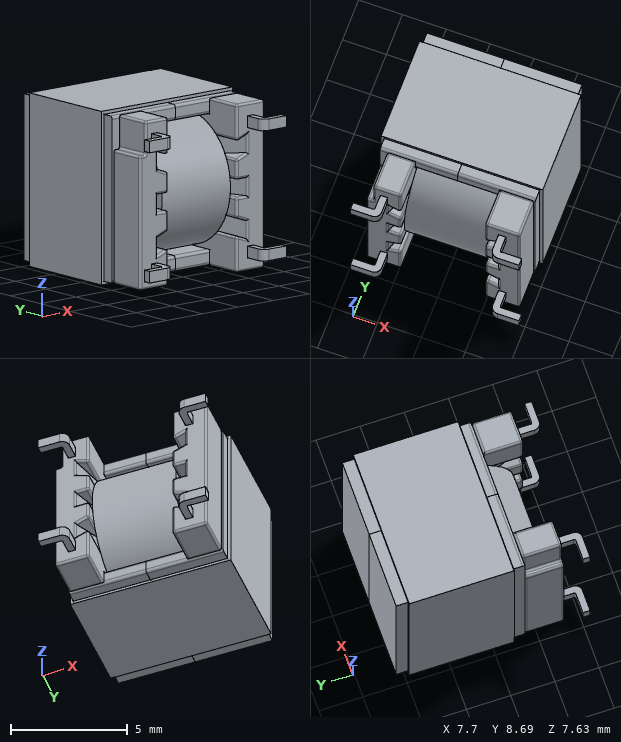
import cadquery as cq
import math


CORE_LENGTH = 7.09
CORE_HEIGHT = 7.335
CORE_DEPTH = 5.85
CORE_REAR_Y = 4.28
CORE_FRONT_Y = CORE_REAR_Y - CORE_DEPTH
CORE_FILLET = 0.13
CENTRE_LEG_RADIUS = 1.39
CAVITY_RADIUS = 2.97

TAPE_THICKNESS = 0.15
TAPE_WIDTH = 4.76

WINDING_RADIUS = 2.955
WINDING_LENGTH = 3.84
WINDING_END_X = WINDING_LENGTH / 2

TUBE_WALL = 0.26
TUBE_RADIUS = CENTRE_LEG_RADIUS + TUBE_WALL
FLANGE_THICKNESS = 0.35
FLANGE_END_X = WINDING_END_X + FLANGE_THICKNESS

BLOCK_OUTER_X = 3.5
BLOCK_HEIGHT = 7.39
BLOCK_DEPTH = 1.79
BLOCK_FRONT_Y = CORE_FRONT_Y - BLOCK_DEPTH
BLOCK_FILLET = 0.1
KEY_STEP_WIDTH = 0.32
KEY_STEP_HEIGHT = 1.49

SLOT_WIDTH = 0.79
SLOT_OUTER_X = 2.54
SLOT_RAMP_DEPTH = 1.56
SLOT_PITCH = 1.9
SLOT_TILT = 21.0

PIN_THICKNESS = 0.33
PIN_WIDTH = 0.51
PIN_INNER_X = 2.53
PIN_TIP_X = 3.85
PIN_Z = 2.86
OVERALL_DEPTH = 8.69
PIN_FRONT_Y = CORE_REAR_Y - OVERALL_DEPTH
PIN_INNER_BEND = 0.08

TOLERANCE = 0.0001


def cavity_profile(front_y):
    """U-shaped section around the winding axis, open toward -Y, drawn in the YZ plane."""
    return (
        cq.Workplane("YZ")
        .moveTo(front_y, CAVITY_RADIUS)
        .lineTo(0, CAVITY_RADIUS)
        .threePointArc((CAVITY_RADIUS, 0), (0, -CAVITY_RADIUS))
        .lineTo(front_y, -CAVITY_RADIUS)
        .close()
    )


def make_core_half():
    """Core half on the +X side: a U-shaped shell with an end wall and a round centre leg."""
    half_length = CORE_LENGTH / 2
    shell = cq.Workplane("XY").box(half_length, CORE_DEPTH, CORE_HEIGHT, centered=(False, False, True))
    shell = shell.translate((0, CORE_FRONT_Y, 0))
    shell = shell.cut(cavity_profile(CORE_FRONT_Y).extrude(FLANGE_END_X))
    shell = shell.faces("<Y").edges("|X").fillet(CORE_FILLET)
    leg = cq.Workplane("YZ").circle(CENTRE_LEG_RADIUS).extrude(FLANGE_END_X)
    return shell.union(leg)


def make_tape():
    """Rectangular band around the middle of the core depth."""
    band = (
        cq.Workplane("XZ")
        .rect(CORE_LENGTH + 2 * TAPE_THICKNESS, CORE_HEIGHT + 2 * TAPE_THICKNESS)
        .rect(CORE_LENGTH, CORE_HEIGHT)
        .extrude(TAPE_WIDTH / 2, both=True)
    )
    return band.translate((0, (CORE_REAR_Y + CORE_FRONT_Y) / 2, 0))


def make_winding():
    """Coil around the bobbin tube, between the flanges."""
    return (
        cq.Workplane("YZ", origin=(-WINDING_END_X, 0, 0))
        .circle(WINDING_RADIUS)
        .circle(TUBE_RADIUS)
        .extrude(WINDING_LENGTH)
    )


def wire_slot(row):
    """Wedge that cuts one slot; row is 1, 0 or -1 from top to bottom."""
    reach = SLOT_OUTER_X - WINDING_END_X
    drop = row * reach * math.tan(math.radians(SLOT_TILT))
    half_width = SLOT_WIDTH / 2
    outer_z = row * SLOT_PITCH
    sheared = (
        cq.Workplane("XZ", origin=(0, BLOCK_FRONT_Y, 0))
        .polyline([
            (SLOT_OUTER_X, outer_z + half_width),
            (SLOT_OUTER_X, outer_z - half_width),
            (WINDING_END_X, outer_z - drop - half_width),
            (WINDING_END_X, outer_z - drop + half_width),
        ])
        .close()
        .extrude(-SLOT_RAMP_DEPTH)
    )
    ramp = (
        cq.Workplane("XY")
        .polyline([
            (SLOT_OUTER_X, BLOCK_FRONT_Y),
            (WINDING_END_X, BLOCK_FRONT_Y),
            (WINDING_END_X, BLOCK_FRONT_Y + SLOT_RAMP_DEPTH),
        ])
        .close()
        .extrude(BLOCK_HEIGHT / 2, both=True)
    )
    return sheared.intersect(ramp)


def is_rounded(edge):
    """True for the filleted edges of a block: all but those inside a slot or next to the flange."""
    centre = edge.Center()
    on_front = abs(centre.y - BLOCK_FRONT_Y) < TOLERANCE
    on_inner = abs(centre.x - WINDING_END_X) < TOLERANCE
    on_rear = abs(centre.y - CORE_FRONT_Y) < TOLERANCE
    ramp_foot = abs(centre.y - BLOCK_FRONT_Y - SLOT_RAMP_DEPTH) < TOLERANCE
    on_end = abs(abs(centre.z) - BLOCK_HEIGHT / 2) < TOLERANCE
    in_slot = centre.x < SLOT_OUTER_X and not (on_front or on_inner or on_rear or on_end)
    at_flange = on_inner and (on_rear or ramp_foot)
    return not (in_slot or at_flange)


def make_block(keyed):
    """Terminal block on the +X side; a keyed block has a step in its top outer corner."""
    length = BLOCK_OUTER_X - WINDING_END_X
    block = cq.Workplane("XY").box(length, BLOCK_DEPTH, BLOCK_HEIGHT, centered=(False, False, True))
    block = block.translate((WINDING_END_X, BLOCK_FRONT_Y, 0))
    if keyed:
        step = cq.Workplane("XY").box(KEY_STEP_WIDTH, BLOCK_DEPTH, KEY_STEP_HEIGHT, centered=False)
        step_corner = (BLOCK_OUTER_X - KEY_STEP_WIDTH, BLOCK_FRONT_Y, BLOCK_HEIGHT / 2 - KEY_STEP_HEIGHT)
        block = block.cut(step.translate(step_corner))
    for row in (1, 0, -1):
        block = block.cut(wire_slot(row))
    rounded_edges = [edge for edge in block.edges().vals() if is_rounded(edge)]
    return block.newObject(rounded_edges).fillet(BLOCK_FILLET)


def make_pin(z):
    """Pin on the +X side: leaves the block toward -Y and bends outward."""
    root_y = BLOCK_FRONT_Y + PIN_THICKNESS
    leg_outer_x = PIN_INNER_X + PIN_THICKNESS
    foot_rear_y = PIN_FRONT_Y + PIN_THICKNESS
    return (
        cq.Workplane("XY")
        .moveTo(PIN_INNER_X, root_y)
        .lineTo(PIN_INNER_X, foot_rear_y)
        .radiusArc((leg_outer_x, PIN_FRONT_Y), -PIN_THICKNESS)
        .lineTo(PIN_TIP_X, PIN_FRONT_Y)
        .lineTo(PIN_TIP_X, foot_rear_y)
        .lineTo(leg_outer_x + PIN_INNER_BEND, foot_rear_y)
        .radiusArc((leg_outer_x, foot_rear_y + PIN_INNER_BEND), PIN_INNER_BEND)
        .lineTo(leg_outer_x, root_y)
        .close()
        .extrude(PIN_WIDTH / 2, both=True)
        .translate((0, 0, z))
    )


def make_bobbin_end(keyed):
    """Flange, terminal block and two pins on the +X side."""
    flange = cavity_profile(CORE_FRONT_Y - BLOCK_FILLET).extrude(FLANGE_THICKNESS)
    flange = flange.translate((WINDING_END_X, 0, 0))
    bore = cq.Workplane("YZ").circle(CENTRE_LEG_RADIUS).extrude(FLANGE_END_X)
    end = flange.cut(bore).union(make_block(keyed))
    for z in (PIN_Z, -PIN_Z):
        end = end.union(make_pin(z))
    return end


def make_bobbin():
    """Tube on the centre leg, with a plain end at +X and a keyed end at -X."""
    tube = (
        cq.Workplane("YZ", origin=(-WINDING_END_X, 0, 0))
        .circle(TUBE_RADIUS)
        .circle(CENTRE_LEG_RADIUS)
        .extrude(WINDING_LENGTH)
    )
    return tube.union(make_bobbin_end(False)).union(make_bobbin_end(True).mirror("YZ"))


right_core_half = make_core_half()
left_core_half = right_core_half.mirror("YZ")
tape = make_tape()
winding = make_winding()
bobbin = make_bobbin()

result = cq.Compound.makeCompound([
    left_core_half.val(),
    right_core_half.val(),
    tape.val(),
    winding.val(),
    bobbin.val(),
])